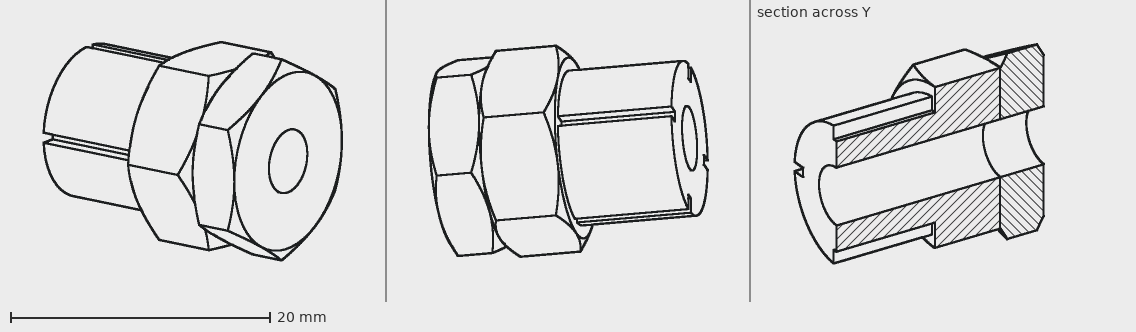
import cadquery as cq
import math

LENGTH = 19.0
SHANK_LENGTH = 9.0
BODY_HEX_LENGTH = 6.0
NUT_LENGTH = LENGTH - SHANK_LENGTH - BODY_HEX_LENGTH

HEX_FLATS = 14.0
SHANK_DIAMETER = 12.0
BORE_DIAMETER = 5.0
SLOT_WIDTH = 0.8
SLOT_DEPTH = 1.2
SLOT_COUNT = 4
CHAMFER_ANGLE = 30.0

FLAT_RADIUS = HEX_FLATS / 2
CORNER_RADIUS = FLAT_RADIUS / math.cos(math.radians(30))
CHAMFER_RUN = (CORNER_RADIUS - FLAT_RADIUS) * math.tan(math.radians(CHAMFER_ANGLE))


def rod(start, length, diameter):
    """Round bar along X."""
    return cq.Workplane("YZ", origin=(start, 0, 0)).circle(diameter / 2).extrude(length)


def chamfered_hex(start, length, turn):
    """Hexagon along X, conically chamfered at both ends; a turn of 0 puts corners on Y."""
    prism = (
        cq.Workplane("YZ", origin=(start, 0, 0))
        .polygon(6, 2 * CORNER_RADIUS)
        .extrude(length)
        .rotate((0, 0, 0), (1, 0, 0), turn)
    )
    end = start + length
    envelope = (
        cq.Workplane("XY")
        .moveTo(start, 0)
        .lineTo(start, FLAT_RADIUS)
        .lineTo(start + CHAMFER_RUN, CORNER_RADIUS)
        .lineTo(end - CHAMFER_RUN, CORNER_RADIUS)
        .lineTo(end, FLAT_RADIUS)
        .lineTo(end, 0)
        .close()
        .revolve(360, (0, 0, 0), (1, 0, 0))
    )
    return prism.intersect(envelope)


def cut_slots(body):
    """Cut the lengthwise slots around the shank, ending at the hex."""
    shank_radius = SHANK_DIAMETER / 2
    slot = cq.Workplane("XY").box(
        SHANK_LENGTH, SLOT_WIDTH, 2 * SLOT_DEPTH, centered=(False, True, True)
    ).translate((0, 0, shank_radius))
    for index in range(SLOT_COUNT):
        angle = index * 360 / SLOT_COUNT
        body = body.cut(slot.rotate((0, 0, 0), (1, 0, 0), angle))
    return body


def make_body():
    """Slotted shank with its own hex."""
    shank = cut_slots(rod(0, SHANK_LENGTH, SHANK_DIAMETER))
    body = shank.union(chamfered_hex(SHANK_LENGTH, BODY_HEX_LENGTH, 0))
    return body.cut(rod(0, LENGTH, BORE_DIAMETER))


def make_nut():
    """Thin nut seated on the body hex, with corners on Z."""
    nut = chamfered_hex(LENGTH - NUT_LENGTH, NUT_LENGTH, 90)
    return nut.cut(rod(0, LENGTH, BORE_DIAMETER))


body = make_body()
nut = make_nut()
result = cq.Compound.makeCompound([body.val(), nut.val()])